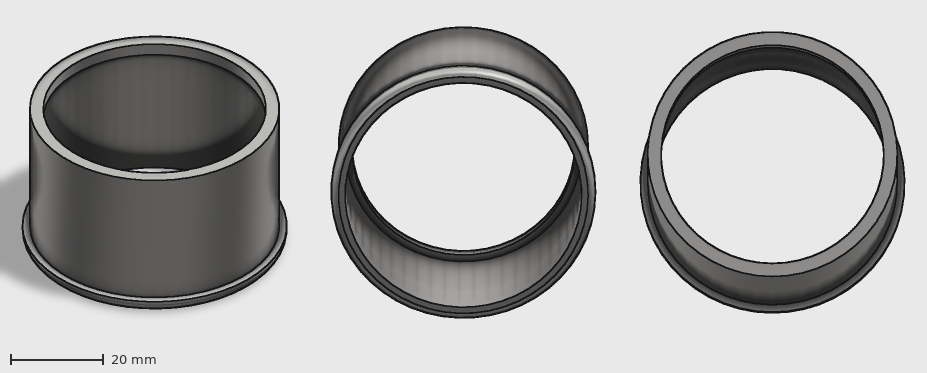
import cadquery as cq

total_height = 33.7
sleeve_diameter = 53.8
bore_diameter = 51.0
lip_bore_diameter = 48.0
lip_height = 2.8
flange_diameter = 57.0
flange_height = 2.8
flange_edge_radius = 2.0


def make_cylinder(diameter, height):
    """Upright cylinder standing on the base plane, centred on the Z axis."""
    return cq.Workplane("XY").circle(diameter / 2).extrude(height)


def make_flange():
    """Collar at the foot of the sleeve, with its lower outer edge rounded."""
    flange = make_cylinder(flange_diameter, flange_height)
    return flange.faces("<Z").edges().fillet(flange_edge_radius)


def make_stepped_bore():
    """Wide bore from below, narrowed by an inward lip at the top rim."""
    wide_bore = make_cylinder(bore_diameter, total_height - lip_height)
    lip_opening = make_cylinder(lip_bore_diameter, total_height)
    return wide_bore.union(lip_opening)


sleeve = make_cylinder(sleeve_diameter, total_height)
result = sleeve.union(make_flange()).cut(make_stepped_bore())